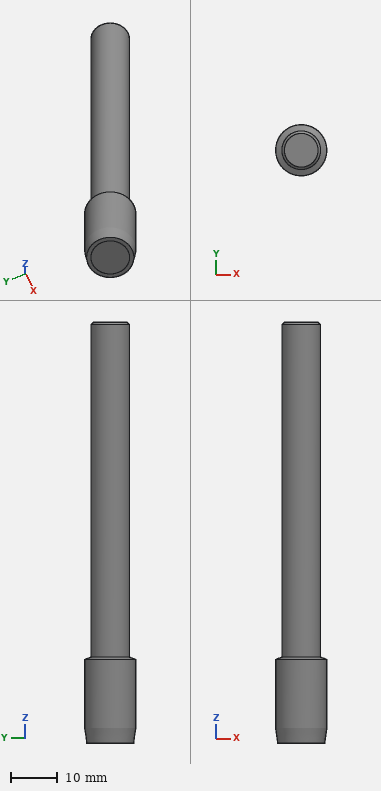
import cadquery as cq

total_length = 90.0
pin_radius = 4.1
sleeve_radius = 5.5
sleeve_length = 18.45

tip_radius = 3.6
tip_chamfer_height = 0.5

shoulder_height = 0.5

nose_height = 3.2
nose_end_radius = 5.0


def make_pin():
    """Round pin along Z with a chamfered upper end."""
    return (
        cq.Workplane("XZ")
        .moveTo(0, 0)
        .lineTo(pin_radius, 0)
        .lineTo(pin_radius, total_length - tip_chamfer_height)
        .lineTo(tip_radius, total_length)
        .lineTo(0, total_length)
        .close()
        .revolve(360, (0, 0), (0, 1))
    )


def make_sleeve():
    """Sleeve around the lower end of the pin, with a tapered nose and a conical shoulder."""
    return (
        cq.Workplane("XZ")
        .moveTo(pin_radius, 0)
        .lineTo(nose_end_radius, 0)
        .lineTo(sleeve_radius, nose_height)
        .lineTo(sleeve_radius, sleeve_length - shoulder_height)
        .lineTo(pin_radius, sleeve_length)
        .close()
        .revolve(360, (0, 0), (0, 1))
    )


pin = make_pin()
sleeve = make_sleeve()
result = cq.Compound.makeCompound([pin.val(), sleeve.val()])